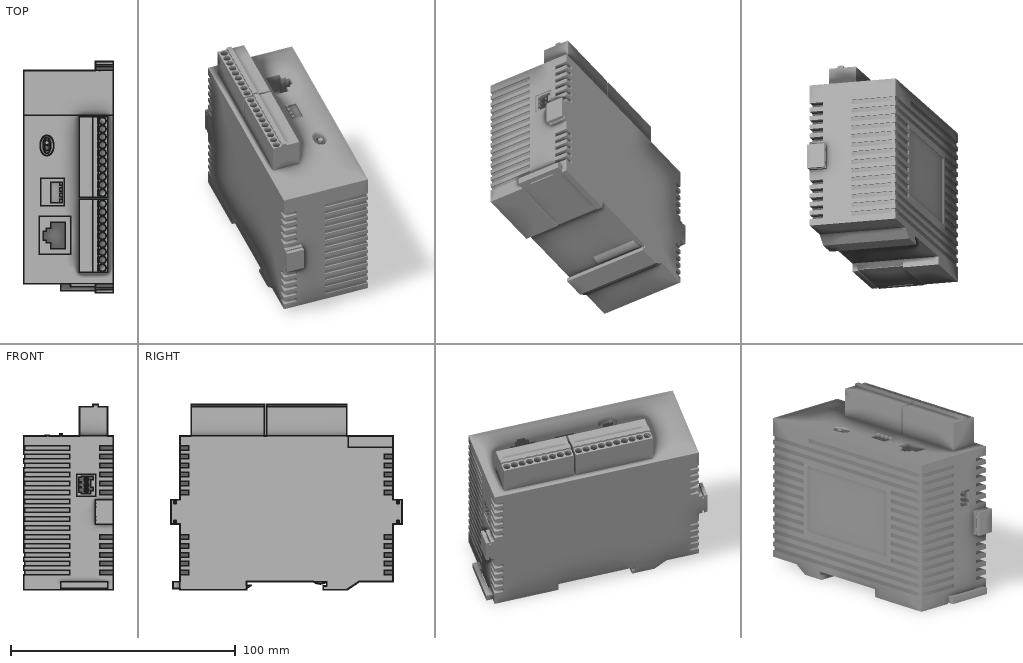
import cadquery as cq


CASE_X = 40.0
CASE_Y = 95.0
CASE_TOP = 68.5
CASE_BOTTOM = 3.7
SIDE_Y = CASE_Y / 2

HOOK_WALL_Y = 17.9
HOOK_TIP_Y = 16.35
HOOK_Z = 1.75
RAMP_START_Y = 32.4
RAMP_END_Y = 26.9
LATCH_FOOT_Y = -17.75

LATCH_X = (16.5, 37.5)
LATCH_BOTTOM = 0.6
LATCH_REACH = 3.1
LATCH_BAR_WALL_GAP = 1.05
LATCH_GAP_X = (20.9, 32.9)
LATCH_NOSE_Y = -15.6
LATCH_NOSE_Z = (0.8, 2.05)
SPRING_Y = (12.0, HOOK_WALL_Y)
SPRING_SAG = 1.1

GROOVE_ROWS = 15
GROOVE_PITCH = 3.97
GROOVE_HEIGHT = 2.0
GROOVE_DEPTH = 0.5
GROOVE_BOTTOM = 6.65
WIDE_GROOVE_END_X = 20.6
BACK_GROOVE_X = 33.9
BACK_GROOVE_DEPTH = 4.0
CLIP_ROWS = range(5, 9)
LABEL_ROWS = range(3, 12)
TOP_ROW = GROOVE_ROWS - 1
LABEL_GROOVE_Y = 27.75
TOP_GROOVE_Y = 24.6

LABEL_Y = 50.4
LABEL_Z = (20.5, 51.2)
LABEL_RADIUS = 0.8
LABEL_DEPTH = 0.3

CLIP_X = 32.0
CLIP_Z = (29.25, 40.1)
CLIP_REACH = 4.0
CLIP_NOTCH = (1.7, 2.5)
CLIP_NOTCH_DEPTH = 1.65
CLIP_WINDOW_HEIGHT = 4.5
CLIP_WINDOW_DEPTH = 2.0

SWITCH_X = 10.4
SWITCH_Y = 14.1
DISH_SIZE = (6.1, 9.0)
DISH_FLOOR_SIZE = (3.4, 7.0)
DISH_DEPTH = 1.5
SWITCH_SLOT_LENGTH = 4.6
SWITCH_SLOT_WIDTH = 2.1
SWITCH_SLOT_DEPTH = 2.5
SWITCH_LEVER_TOP = CASE_TOP + 0.4

COVER_Y = 20.0
COVER_Z = 5.1

JACK_X = (6.95, 20.9)
JACK_Y = (-34.3, -17.3)
JACK_DEPTH = 12.0
JACK_OPENING_DEPTH = 10.0
JACK_AXIS_Y = -26.0
JACK_STEPS = ((12.07, 11.8), (10.05, 6.4), (8.7, 4.0))
JACK_OPENING_END_X = 18.5

SELECTOR_X = (7.65, 18.2)
SELECTOR_Y = (-12.7, -0.45)
SELECTOR_DEPTH = 6.0
SELECTOR_POCKET_X = (12.07, 17.2)
SELECTOR_POCKET_Y = (-11.3, -2.2)
SELECTOR_POCKET_DEPTH = 1.0
LEVER_COUNT = 4
LEVER_X = 1.1
LEVER_WIDTH = 1.5
LEVER_TOP = CASE_TOP + 0.9

HEADER_X = (23.65, 32.05)
HEADER_Z = (41.7, 51.4)
HEADER_DEPTH = 10.0
HEADER_FRONT_Y = -SIDE_Y + 0.4
HEADER_CAVITY_X = (25.6, 29.95)
HEADER_CAVITY_Z = (42.7, 50.5)
HEADER_CAVITY_DEPTH = 7.0
HEADER_CODING_X = 24.55
HEADER_KEY_X = 31.0
HEADER_KEYS_Z = ((49.1, 50.5), (44.05, 45.75))
PIN_COUNT = 3
PIN_X = 27.9
PIN_MIDDLE_Z = 46.75
PIN_PITCH = 2.36
PIN_SIZE = 0.7
PIN_LENGTH = 5.5
COLLAR_DIAMETER = 2.0
COLLAR_LENGTH = 1.0
CODING_HEIGHT = 1.9

TERMINAL_X = (24.85, 37.4)
TERMINAL_TOP = 81.5
RIDGE_X = (30.9, 33.25)
RIDGE_HEIGHT = 1.0
WIRE_HOLE_X = 35.1
WIRE_HOLE_PITCH = 3.55
WIRE_HOLE_DIAMETER = 3.2
WIRE_HOLE_DEPTH = 5.0
SCALLOP_X = 32.95
SCALLOP_RADIUS = 5.0
TERMINALS = ((26.9, -8.9, 10), (-9.9, -42.4, 9))


def block(x, y, z):
    """Box between the given limits on each axis, in either order."""
    return cq.Workplane("XY").box(
        abs(x[1] - x[0]), abs(y[1] - y[0]), abs(z[1] - z[0])
    ).translate((sum(x) / 2, sum(y) / 2, sum(z) / 2))


def span(middle, length):
    """Limits of a length centred on a position."""
    return (middle - length / 2, middle + length / 2)


def cover_block():
    return block((0, CASE_X), (SIDE_Y - COVER_Y, SIDE_Y), (CASE_TOP - COVER_Z, CASE_TOP))


def jack_block():
    return block(JACK_X, JACK_Y, (CASE_TOP - JACK_DEPTH, CASE_TOP))


def selector_block():
    return block(SELECTOR_X, SELECTOR_Y, (CASE_TOP - SELECTOR_DEPTH, CASE_TOP))


def header_block(front_y):
    return block(HEADER_X, (front_y, -SIDE_Y + HEADER_DEPTH), HEADER_Z)


def case_with_feet():
    outline = [
        (SIDE_Y, CASE_TOP),
        (SIDE_Y, CASE_BOTTOM),
        (RAMP_START_Y, CASE_BOTTOM),
        (RAMP_END_Y, 0),
        (HOOK_TIP_Y, 0),
        (HOOK_TIP_Y, HOOK_Z),
        (HOOK_WALL_Y, HOOK_Z),
        (HOOK_WALL_Y, CASE_BOTTOM),
        (LATCH_FOOT_Y, CASE_BOTTOM),
        (LATCH_FOOT_Y, 0),
        (-SIDE_Y, 0),
        (-SIDE_Y, CASE_TOP),
    ]
    return cq.Workplane("YZ").polyline(outline).close().extrude(CASE_X)


def latch_channel():
    """Shallow channel under the latch foot."""
    return block(LATCH_X, (-SIDE_Y, LATCH_FOOT_Y), (0, LATCH_BOTTOM))


def latch_bar():
    bar = block(LATCH_X, (-SIDE_Y - LATCH_REACH, -SIDE_Y), (LATCH_BOTTOM, CASE_BOTTOM))
    gap = block(LATCH_GAP_X, (-SIDE_Y - LATCH_BAR_WALL_GAP, -SIDE_Y), (LATCH_BOTTOM, CASE_BOTTOM))
    return bar.cut(gap)


def latch_nose():
    outline = [
        (LATCH_FOOT_Y, LATCH_NOSE_Z[0]),
        (LATCH_NOSE_Y, LATCH_NOSE_Z[1]),
        (LATCH_FOOT_Y, LATCH_NOSE_Z[1]),
    ]
    nose = cq.Workplane("YZ").polyline(outline).close().extrude(LATCH_X[1] - LATCH_X[0])
    return nose.translate((LATCH_X[0], 0, 0))


def rail_spring():
    """Bowed leaf under the case beside the hook."""
    bow = (
        cq.Workplane("YZ")
        .moveTo(SPRING_Y[0], CASE_BOTTOM)
        .threePointArc((sum(SPRING_Y) / 2, CASE_BOTTOM - SPRING_SAG), (SPRING_Y[1], CASE_BOTTOM))
        .close()
        .extrude(LATCH_X[1] - LATCH_X[0])
    )
    return bow.translate((LATCH_X[0], 0, 0))


def row_grooves(row):
    """Cutters for one row of vent grooves on the label face and both sides."""
    bottom = GROOVE_BOTTOM + row * GROOVE_PITCH
    height = (bottom, bottom + GROOVE_HEIGHT)
    face_depth = (0, GROOVE_DEPTH)
    side_depth = (-SIDE_Y, -SIDE_Y + GROOVE_DEPTH)
    back_depth = (-SIDE_Y, -SIDE_Y + BACK_GROOVE_DEPTH)
    beside_cover = row == TOP_ROW

    if row in LABEL_ROWS:
        face_runs = [(-SIDE_Y, -LABEL_GROOVE_Y), (LABEL_GROOVE_Y, SIDE_Y)]
    elif beside_cover:
        face_runs = [(-SIDE_Y, TOP_GROOVE_Y)]
    else:
        face_runs = [(-SIDE_Y, SIDE_Y)]
    grooves = [block(face_depth, run, height) for run in face_runs]

    sides = [block((0, WIDE_GROOVE_END_X), side_depth, height)]
    if row not in CLIP_ROWS:
        sides.append(block((BACK_GROOVE_X, CASE_X), back_depth, height))
    grooves += sides
    if not beside_cover:
        grooves += [side.mirror("XZ") for side in sides]
    return grooves


def label_recess():
    recess = block((0, LABEL_DEPTH), span(0, LABEL_Y), LABEL_Z)
    return recess.edges("|X").fillet(LABEL_RADIUS)


def end_clip():
    """Notched clip on the -Y side."""
    clip = block((CLIP_X, CASE_X), (-SIDE_Y - CLIP_REACH, -SIDE_Y), CLIP_Z)
    notch_y = (-SIDE_Y - CLIP_NOTCH[1], -SIDE_Y - CLIP_NOTCH[0])
    clip = clip.cut(block((CLIP_X, CASE_X), notch_y, (CLIP_Z[0], CLIP_Z[0] + CLIP_NOTCH_DEPTH)))
    clip = clip.cut(block((CLIP_X, CASE_X), notch_y, (CLIP_Z[1] - CLIP_NOTCH_DEPTH, CLIP_Z[1])))
    window_z = span(sum(CLIP_Z) / 2, CLIP_WINDOW_HEIGHT)
    return clip.cut(block((CLIP_X, CLIP_X + CLIP_WINDOW_DEPTH), notch_y, window_z))


def switch_opening():
    """Oval dish with a round-ended slot in its floor."""
    dish = (
        cq.Workplane("XY", origin=(SWITCH_X, SWITCH_Y, CASE_TOP))
        .ellipse(DISH_SIZE[0] / 2, DISH_SIZE[1] / 2)
        .workplane(offset=-DISH_DEPTH)
        .ellipse(DISH_FLOOR_SIZE[0] / 2, DISH_FLOOR_SIZE[1] / 2)
        .loft()
    )
    slot = (
        cq.Workplane("XY", origin=(SWITCH_X, SWITCH_Y, CASE_TOP - DISH_DEPTH))
        .slot2D(SWITCH_SLOT_LENGTH, SWITCH_SLOT_WIDTH, 90)
        .extrude(-SWITCH_SLOT_DEPTH)
    )
    return dish.union(slot)


def switch_lever():
    lever_y = SWITCH_Y + (SWITCH_SLOT_LENGTH - SWITCH_SLOT_WIDTH) / 2
    slot_floor = CASE_TOP - DISH_DEPTH - SWITCH_SLOT_DEPTH
    return (
        cq.Workplane("XY", origin=(SWITCH_X, lever_y, slot_floor))
        .circle(SWITCH_SLOT_WIDTH / 2)
        .extrude(SWITCH_LEVER_TOP - slot_floor)
    )


def make_housing():
    housing = case_with_feet().cut(latch_channel())
    for row in range(GROOVE_ROWS):
        for groove in row_grooves(row):
            housing = housing.cut(groove)
    housing = housing.cut(label_recess()).cut(switch_opening())
    for addition in (latch_bar(), latch_nose(), rail_spring(), switch_lever()):
        housing = housing.union(addition)
    housing = housing.union(end_clip()).union(end_clip().mirror("XZ"))
    for inset in (cover_block(), jack_block(), selector_block(), header_block(-SIDE_Y)):
        housing = housing.cut(inset)
    return housing


def make_jack():
    jack = jack_block()
    for start_x, width in JACK_STEPS:
        jack = jack.cut(
            block(
                (start_x, JACK_OPENING_END_X),
                span(JACK_AXIS_Y, width),
                (CASE_TOP - JACK_OPENING_DEPTH, CASE_TOP),
            )
        )
    return jack


def make_selector():
    floor = CASE_TOP - SELECTOR_POCKET_DEPTH
    selector = selector_block().cut(block(SELECTOR_POCKET_X, SELECTOR_POCKET_Y, (floor, CASE_TOP)))
    lever_x = (SELECTOR_POCKET_X[1] - LEVER_X, SELECTOR_POCKET_X[1])
    first_y = SELECTOR_POCKET_Y[0]
    pitch = (SELECTOR_POCKET_Y[1] - first_y - LEVER_WIDTH) / (LEVER_COUNT - 1)
    for index in range(LEVER_COUNT):
        lever_y = first_y + index * pitch
        selector = selector.union(block(lever_x, (lever_y, lever_y + LEVER_WIDTH), (floor, LEVER_TOP)))
    return selector


def make_header():
    floor_y = -SIDE_Y + HEADER_CAVITY_DEPTH
    depth = (HEADER_FRONT_Y, floor_y)
    pin_heights = [PIN_MIDDLE_Z + (index - (PIN_COUNT - 1) / 2) * PIN_PITCH for index in range(PIN_COUNT)]
    header = header_block(HEADER_FRONT_Y).cut(block(HEADER_CAVITY_X, depth, HEADER_CAVITY_Z))
    for key_z in HEADER_KEYS_Z:
        header = header.cut(block((HEADER_CAVITY_X[1], HEADER_KEY_X), depth, key_z))
    for pin_z in pin_heights:
        header = header.cut(block((HEADER_CODING_X, HEADER_CAVITY_X[0]), depth, span(pin_z, CODING_HEIGHT)))
        collar = (
            cq.Workplane("XZ", origin=(PIN_X, floor_y, pin_z))
            .circle(COLLAR_DIAMETER / 2)
            .extrude(COLLAR_LENGTH)
        )
        pin = block(span(PIN_X, PIN_SIZE), (floor_y - PIN_LENGTH, floor_y), span(pin_z, PIN_SIZE))
        header = header.union(collar).union(pin)
    return header


def make_terminal(y_start, y_end, holes):
    length = (y_end, y_start)
    body = block(TERMINAL_X, length, (CASE_TOP, TERMINAL_TOP))
    ridge = block(RIDGE_X, length, (TERMINAL_TOP, TERMINAL_TOP + RIDGE_HEIGHT))
    middle_y = (y_start + y_end) / 2
    scallops = (
        cq.Workplane("XY", origin=(SCALLOP_X + SCALLOP_RADIUS, middle_y, TERMINAL_TOP))
        .rarray(1, WIRE_HOLE_PITCH, 1, holes)
        .circle(SCALLOP_RADIUS)
        .extrude(RIDGE_HEIGHT)
    )
    wire_holes = (
        cq.Workplane("XY", origin=(WIRE_HOLE_X, middle_y, TERMINAL_TOP))
        .rarray(1, WIRE_HOLE_PITCH, 1, holes)
        .circle(WIRE_HOLE_DIAMETER / 2)
        .extrude(-WIRE_HOLE_DEPTH)
    )
    body = body.cut(wire_holes)
    ridge = ridge.cut(scallops)
    return body.union(ridge)


housing = make_housing()
cover = cover_block()
jack = make_jack()
selector = make_selector()
header = make_header()
terminals = [make_terminal(*terminal) for terminal in TERMINALS]

result = cq.Compound.makeCompound(
    [housing.val(), cover.val(), jack.val(), selector.val(), header.val()]
    + [terminal.val() for terminal in terminals]
)